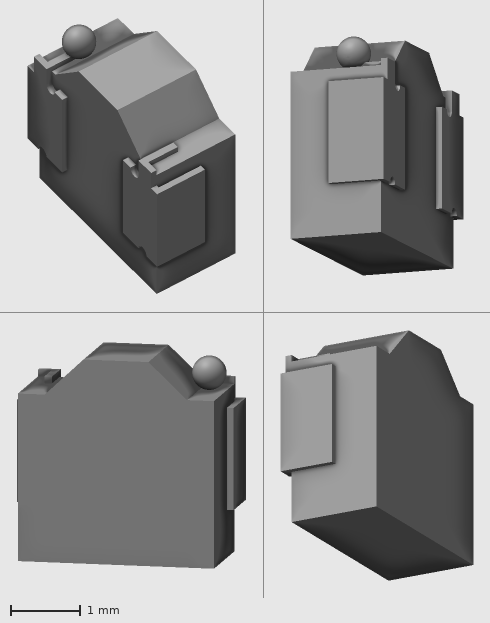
import cadquery as cq

total_width = 3.2
total_depth = 1.5
total_height = 3.0

housing_width = 2.9
plateau_width = 0.96
slope_foot_width = 2.105
shoulder_height = 2.465

sheet = 0.1
pad_width = 0.85
leg_depth = 0.85
pad_bottom = 0.75
pad_top = 2.25
tab_inner_x = 1.135
notch_radius = 0.1
bottom_notch_x = 1.235
arm_width = 0.112
arm_top = shoulder_height + sheet

ball_radius = 0.25
ball_x = tab_inner_x + arm_width / 2
ball_y = 0.62
ball_z = shoulder_height + ball_radius


def box_between(x_range, y_range, z_range):
    """Box spanning the given (low, high) range along each axis."""
    size = [high - low for low, high in (x_range, y_range, z_range)]
    corner = (x_range[0], y_range[0], z_range[0])
    return cq.Workplane("XY").box(*size, centered=False).translate(corner)


def notch_cutter(x, z):
    """Round cutter through the pad thickness."""
    return (
        cq.Workplane("XZ")
        .center(x, z)
        .circle(notch_radius)
        .extrude(-sheet)
    )


def make_housing():
    """Block with square shoulders and a raised, sloped-sided crown."""
    half_width = housing_width / 2
    half_foot = slope_foot_width / 2
    half_plateau = plateau_width / 2
    return (
        cq.Workplane("XZ", origin=(0, sheet, 0))
        .polyline([
            (-half_width, 0),
            (half_width, 0),
            (half_width, shoulder_height),
            (half_foot, shoulder_height),
            (half_plateau, total_height),
            (-half_plateau, total_height),
            (-half_foot, shoulder_height),
            (-half_width, shoulder_height),
        ])
        .close()
        .extrude(-(total_depth - sheet))
    )


def make_arm():
    """Wire arm lying on the right shoulder and ending at the ball centre."""
    return box_between(
        (tab_inner_x, tab_inner_x + arm_width),
        (0, ball_y),
        (shoulder_height, arm_top),
    )


def make_terminal():
    """Right terminal: notched front pad, side leg, upright tab and wire arm."""
    outer_x = total_width / 2
    pad = box_between((outer_x - pad_width, outer_x), (0, sheet), (pad_bottom, pad_top))
    leg = box_between((outer_x - sheet, outer_x), (0, leg_depth), (pad_bottom, pad_top))
    tab = box_between((tab_inner_x, housing_width / 2), (0, sheet), (pad_top, arm_top))
    top_notch = notch_cutter(tab_inner_x - notch_radius, pad_top)
    bottom_notch = notch_cutter(bottom_notch_x, pad_bottom)
    notched_pad = pad.cut(top_notch).cut(bottom_notch)
    return notched_pad.union(leg).union(tab).union(make_arm())


def make_ball():
    """Right solder ball with a recess for the end of the wire arm."""
    ball = cq.Workplane("XY").sphere(ball_radius).translate((ball_x, ball_y, ball_z))
    return ball.cut(make_arm())


housing = make_housing()

terminals = []
balls = []
for make_part, parts in ((make_terminal, terminals), (make_ball, balls)):
    right_part = make_part()
    parts.append(right_part.val())
    parts.append(right_part.mirror("YZ").val())

result = cq.Compound.makeCompound([housing.val(), *terminals, *balls])